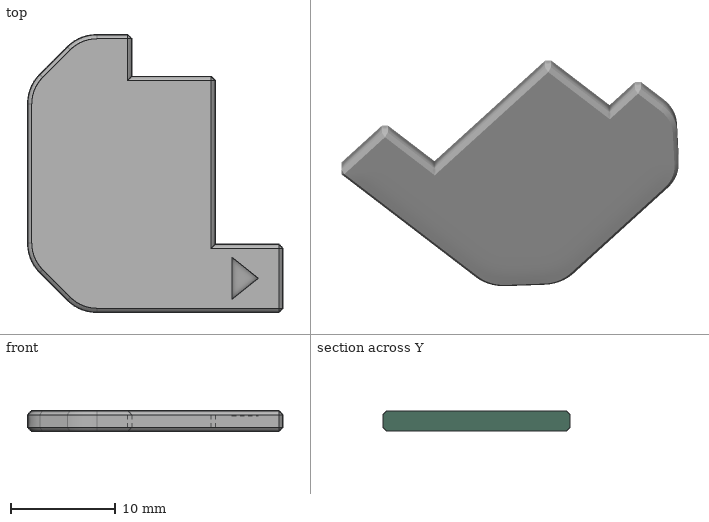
import cadquery as cq

length_x = 24.5
length_y = 26.65
thickness = 2.0

upper_step_x = 10.0
body_x = 18.02
upper_step_drop = 4.0
tab_width = 6.55

corner_cut = 4.98
corner_radius = 4.0

edge_bevel = 0.4

arrow_base_x = 19.61
arrow_length = 2.5
arrow_width = 4.0
arrow_depth = 0.5

shoulder_y = length_y - upper_step_drop


def vertical_edges_at(plate, points):
    """Select the vertical edge of the plate nearest each (x, y) point."""
    vertical_edges = plate.edges("|Z")
    selected = plate.newObject([])
    for x, y in points:
        nearest = cq.selectors.NearestToPointSelector((x, y, thickness / 2))
        selected = selected.add(vertical_edges.edges(nearest))
    return selected


def make_plate():
    """Stepped plate with clipped, rounded -X corners and bevelled edges."""
    outline = [
        (corner_cut, 0),
        (length_x, 0),
        (length_x, tab_width),
        (body_x, tab_width),
        (body_x, shoulder_y),
        (upper_step_x, shoulder_y),
        (upper_step_x, length_y),
        (corner_cut, length_y),
        (0, length_y - corner_cut),
        (0, corner_cut),
    ]
    plate = cq.Workplane("XY").polyline(outline).close().extrude(thickness)

    clipped_corner_ends = [
        (corner_cut, 0),
        (0, corner_cut),
        (0, length_y - corner_cut),
        (corner_cut, length_y),
    ]
    plate = vertical_edges_at(plate, clipped_corner_ends).fillet(corner_radius)

    outside_corners = [
        (length_x, 0),
        (length_x, tab_width),
        (body_x, shoulder_y),
        (upper_step_x, length_y),
    ]
    rim_edges = plate.faces("<Z or >Z").edges()
    corner_edges = vertical_edges_at(plate, outside_corners)
    return rim_edges.add(corner_edges).chamfer(edge_bevel)


def make_arrow():
    """Triangular pocket volume, centred across the tab."""
    tip_y = tab_width / 2
    return (
        cq.Workplane("XY", origin=(0, 0, thickness))
        .moveTo(arrow_base_x, tip_y - arrow_width / 2)
        .lineTo(arrow_base_x + arrow_length, tip_y)
        .lineTo(arrow_base_x, tip_y + arrow_width / 2)
        .close()
        .extrude(-arrow_depth)
    )


result = make_plate().cut(make_arrow())